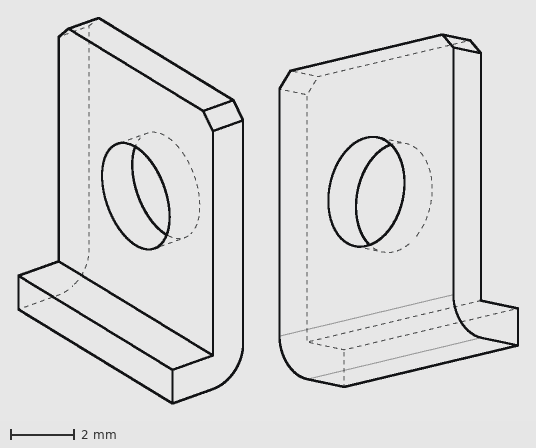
import cadquery as cq

width = 8.0
depth = 2.8
height = 9.7

thickness = 1.2
bend_radius = thickness
corner_chamfer = 0.5
hole_diameter = 3.5
hole_height = 5.2


def bent_plate():
    """Upright plate with a foot towards -Y; the upright's back face is at Y = depth."""
    front_of_upright = depth - thickness
    block = (
        cq.Workplane("YZ")
        .rect(depth, height, centered=False)
        .extrude(width / 2, both=True)
    )
    space_above_foot = (
        cq.Workplane("YZ")
        .moveTo(0, thickness)
        .rect(front_of_upright, height - thickness, centered=False)
        .extrude(width / 2, both=True)
    )
    bracket = block.cut(space_above_foot)
    return bracket.edges("|X and >Y and <Z").fillet(bend_radius)


def mounting_hole():
    """Cylinder along Y that passes through the upright."""
    return (
        cq.Workplane("XZ")
        .center(0, hole_height)
        .circle(hole_diameter / 2)
        .extrude(-depth)
    )


bracket = bent_plate()
bracket = bracket.faces(">Z").edges("|Y").chamfer(corner_chamfer)
result = bracket.cut(mounting_hole())